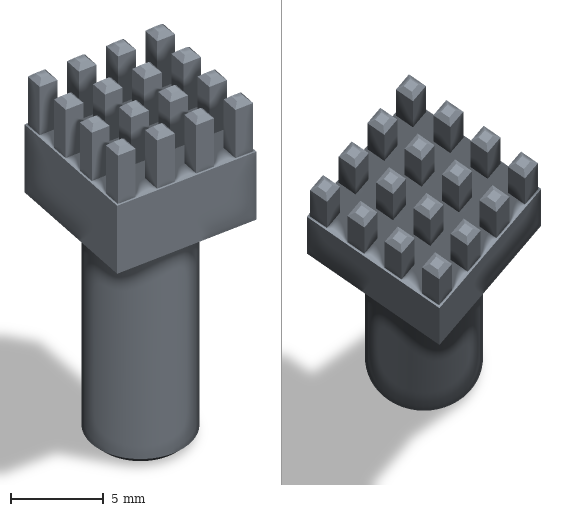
import cadquery as cq

total_height = 23.0
block_side = 9.0
block_height = 4.5
shaft_length = 15.0
pin_height = total_height - shaft_length - block_height

shaft_diameter = 6.35
shaft_chamfer = 0.5

pins_per_side = 4
pin_pitch = 2.53
pin_width = 1.15
pin_chamfer = 0.3


def make_shaft():
    """Round shaft standing on Z = 0 with a chamfered lower end."""
    shaft = cq.Workplane("XY").circle(shaft_diameter / 2).extrude(shaft_length)
    return shaft.faces("<Z").chamfer(shaft_chamfer)


def make_block():
    """Square block resting on top of the shaft."""
    return (
        cq.Workplane("XY")
        .workplane(offset=shaft_length)
        .rect(block_side, block_side)
        .extrude(block_height)
    )


def make_pins():
    """Grid of square pins on the block, each with a chamfered tip."""
    return (
        cq.Workplane("XY")
        .workplane(offset=shaft_length + block_height)
        .rarray(pin_pitch, pin_pitch, pins_per_side, pins_per_side)
        .rect(pin_width, pin_width)
        .extrude(pin_height)
        .faces(">Z")
        .chamfer(pin_chamfer)
    )


result = make_shaft().union(make_block()).union(make_pins())